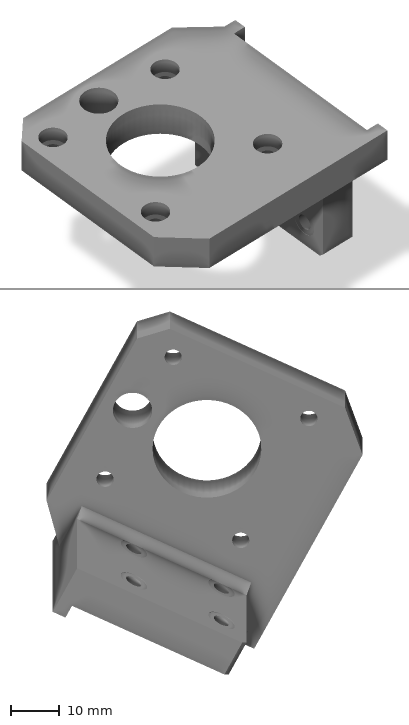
import cadquery as cq


PLATE_LEFT = -24.0
PLATE_RIGHT = 29.0
PLATE_FRONT = -21.0
PLATE_THICKNESS = 8.0
FRONT_LEFT_CHAMFER = 5.0
FRONT_RIGHT_CHAMFER = 8.0

WALL_LEFT = -17.0
WALL_RIGHT = 21.7
WALL_REAR = 36.3
WALL_THICKNESS = 11.1
WALL_FRONT = WALL_REAR - WALL_THICKNESS
WALL_BOTTOM = -33.0
WALL_CORNER_CHAMFER = 1.0
WEB_SIZE = 2.1

RAIL_WIDTH = 40.2
RAIL_DEPTH = 3.0
LIP_WIDTH = 2.9
RAIL_LEFT = WALL_LEFT + LIP_WIDTH
RAIL_FACE = WALL_REAR - RAIL_DEPTH

PILOT_DIAMETER = 22.2
MOTOR_SCREW_SPACING = 31.0
ROD_DIAMETER = 8.0
ROD_X = -17.5
ROD_Y = -1.0
SCREW_DIAMETER = 3.5
HEAD_DIAMETER = 6.0
PLATE_HEAD_DEPTH = 3.4
WALL_HEAD_DEPTH = 0.1
RAIL_SCREW_SPACING_X = 20.0
RAIL_SCREW_SPACING_Z = 15.0
RAIL_SCREW_CENTER_X = RAIL_LEFT + RAIL_WIDTH / 2
RAIL_SCREW_CENTER_Z = -19.5


def make_plate():
    """Motor plate with cut corners; its rear left corner slopes in to meet the wall."""
    outline = [
        (PLATE_LEFT + FRONT_LEFT_CHAMFER, PLATE_FRONT),
        (PLATE_RIGHT - FRONT_RIGHT_CHAMFER, PLATE_FRONT),
        (PLATE_RIGHT, PLATE_FRONT + FRONT_RIGHT_CHAMFER),
        (PLATE_RIGHT, WALL_REAR),
        (WALL_LEFT, WALL_REAR),
        (WALL_LEFT, RAIL_FACE),
        (PLATE_LEFT, WALL_FRONT),
        (PLATE_LEFT, PLATE_FRONT + FRONT_LEFT_CHAMFER),
    ]
    return cq.Workplane("XY").polyline(outline).close().extrude(-PLATE_THICKNESS)


def make_wall():
    """Vertical wall reaching from the plate top to the bottom, with one lower corner cut."""
    wall = cq.Workplane("XY").box(
        WALL_RIGHT - WALL_LEFT, WALL_THICKNESS, -WALL_BOTTOM, centered=False
    )
    wall = wall.edges("|Y and >X and <Z").chamfer(WALL_CORNER_CHAMFER)
    return wall.translate((WALL_LEFT, WALL_FRONT, WALL_BOTTOM))


def make_web():
    """Triangular strip filling the inside corner between plate and wall."""
    triangle = [
        (WALL_FRONT, -PLATE_THICKNESS),
        (WALL_FRONT - WEB_SIZE, -PLATE_THICKNESS),
        (WALL_FRONT, -PLATE_THICKNESS - WEB_SIZE),
    ]
    section = cq.Workplane("YZ", origin=(WALL_LEFT, 0, 0)).polyline(triangle).close()
    return section.extrude(WALL_RIGHT - WALL_LEFT)


def make_rail_recess():
    """Full-height slot across the rear face, leaving a lip at either side."""
    recess = cq.Workplane("XY").box(RAIL_WIDTH, RAIL_DEPTH, -WALL_BOTTOM, centered=False)
    return recess.translate((RAIL_LEFT, RAIL_FACE, WALL_BOTTOM))


def cut_plate_holes(plate):
    """Pilot bore, rod hole and four counterbored motor screw holes."""
    top = plate.faces(">Z").workplane(origin=(0, 0, 0))
    plate = top.hole(PILOT_DIAMETER)
    top = plate.faces(">Z").workplane(origin=(0, 0, 0))
    plate = top.center(ROD_X, ROD_Y).hole(ROD_DIAMETER)
    top = plate.faces(">Z").workplane(origin=(0, 0, 0))
    screws = top.rarray(MOTOR_SCREW_SPACING, MOTOR_SCREW_SPACING, 2, 2)
    return screws.cboreHole(SCREW_DIAMETER, HEAD_DIAMETER, PLATE_HEAD_DEPTH)


def cut_wall_holes(wall):
    """Four rail screw holes, counterbored from the front face."""
    center = (RAIL_SCREW_CENTER_X, WALL_FRONT, RAIL_SCREW_CENTER_Z)
    front = wall.faces("<Y").workplane(origin=center)
    screws = front.rarray(RAIL_SCREW_SPACING_X, RAIL_SCREW_SPACING_Z, 2, 2)
    return screws.cboreHole(SCREW_DIAMETER, HEAD_DIAMETER, WALL_HEAD_DEPTH)


plate = cut_plate_holes(make_plate())
wall = cut_wall_holes(make_wall())
result = plate.union(wall).union(make_web()).cut(make_rail_recess())